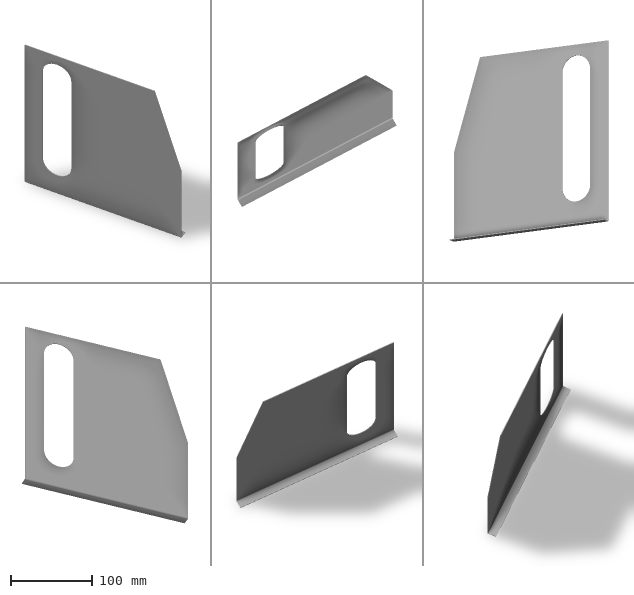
import cadquery as cq

width = 218.0
height = 230.0
flange_depth = 11.53
thickness = 1.0
inner_bend_radius = 0.74
outer_bend_radius = inner_bend_radius + thickness

corner_run = 37.0
corner_drop = 117.0

slot_width = 40.0
slot_length = 185.0
slot_left_margin = 25.0
slot_bottom_margin = 31.0
vertical_angle = 90.0


def make_bent_sheet():
    """L-shaped sheet: upright panel with a short flange turned back along +Y."""
    return (
        cq.Workplane("YZ")
        .moveTo(0, height)
        .lineTo(0, outer_bend_radius)
        .radiusArc((outer_bend_radius, 0), -outer_bend_radius)
        .lineTo(flange_depth, 0)
        .lineTo(flange_depth, thickness)
        .lineTo(outer_bend_radius, thickness)
        .radiusArc((thickness, outer_bend_radius), inner_bend_radius)
        .lineTo(thickness, height)
        .close()
        .extrude(width)
    )


def make_corner_cutter():
    """Triangular prism that removes the upper +X corner of the panel."""
    return (
        cq.Workplane("XZ")
        .moveTo(width - corner_run, height)
        .lineTo(width, height)
        .lineTo(width, height - corner_drop)
        .close()
        .extrude(-thickness)
    )


def make_slot_cutter():
    """Round-ended vertical slot through the panel."""
    center_x = slot_left_margin + slot_width / 2
    center_z = slot_bottom_margin + slot_length / 2
    return (
        cq.Workplane("XZ")
        .center(center_x, center_z)
        .slot2D(slot_length, slot_width, vertical_angle)
        .extrude(-thickness)
    )


result = make_bent_sheet().cut(make_corner_cutter()).cut(make_slot_cutter())